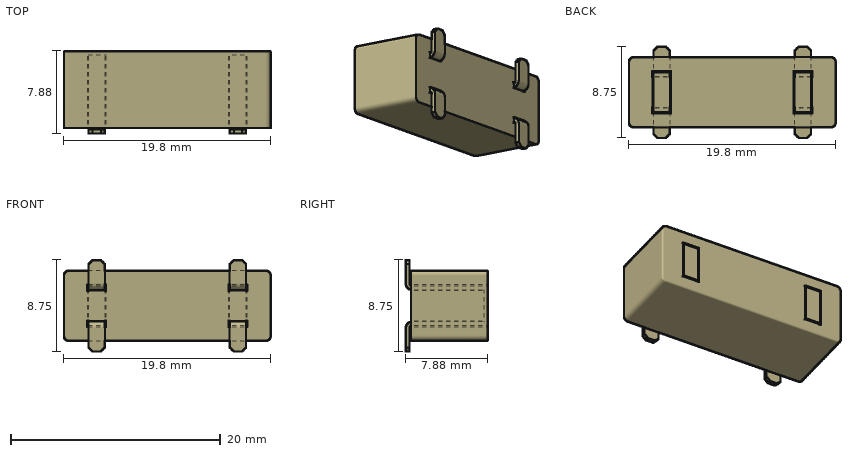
import cadquery as cq
import math

length = 19.81
total_depth = 7.88
total_height = 8.75

housing_depth = 7.37
housing_height = 6.74
corner_radius = 0.5
back_edge_radius = 0.15

terminal_spacing = 13.51
strip_width = 1.58
strip_thickness = 0.4
outer_bend_radius = 0.65
leg_inside = 1.5
tip_chamfer = 0.4

side_clearance = 0.09
inside_clearance = 0.05
outside_clearance = 0.12

mounting_face = -housing_depth / 2
back_face = housing_depth / 2
foot_front = back_face - total_depth
foot_back = foot_front + strip_thickness
bend_centre_y = foot_front + outer_bend_radius
bridge_front = back_face - strip_thickness

leg_outside = leg_inside + strip_thickness
bend_centre_z = leg_inside + outer_bend_radius
foot_tip = total_height / 2
slot_inside = leg_inside - inside_clearance
slot_outside = leg_outside + outside_clearance

inner_bend_radius = outer_bend_radius - strip_thickness
slot_width = strip_width + 2 * side_clearance
terminal_positions = [-terminal_spacing / 2, terminal_spacing / 2]


def bend_midpoint(radius):
    """Middle of the quarter bend, as a (Y, Z) point."""
    offset = radius * math.sqrt(0.5)
    return (bend_centre_y - offset, bend_centre_z - offset)


def make_terminal(x):
    """U-shaped strip: a bridge at the back joins two legs, each bent outward into a foot."""
    upper_half = (
        cq.Workplane("YZ")
        .moveTo(foot_front, foot_tip)
        .lineTo(foot_front, bend_centre_z)
        .threePointArc(bend_midpoint(outer_bend_radius), (bend_centre_y, leg_inside))
        .lineTo(bridge_front, leg_inside)
        .lineTo(bridge_front, 0)
        .lineTo(back_face, 0)
        .lineTo(back_face, leg_outside)
        .lineTo(bend_centre_y, leg_outside)
        .threePointArc(bend_midpoint(inner_bend_radius), (foot_back, bend_centre_z))
        .lineTo(foot_back, foot_tip)
        .close()
        .extrude(strip_width / 2, both=True)
        .faces(">Z")
        .edges("|Y")
        .chamfer(tip_chamfer)
    )
    return upper_half.union(upper_half.mirror("XY")).translate((x, 0, 0))


def make_terminal_channel(x):
    """Space for one terminal: two slots through the housing and a groove across its back."""
    slot_height = slot_outside - slot_inside
    slot_middle = (slot_outside + slot_inside) / 2
    upper_slot = (
        cq.Workplane("XY")
        .box(slot_width, housing_depth, slot_height)
        .translate((0, 0, slot_middle))
    )
    groove = (
        cq.Workplane("XY")
        .box(slot_width, strip_thickness, 2 * slot_outside)
        .translate((0, (bridge_front + back_face) / 2, 0))
    )
    channel = upper_slot.union(upper_slot.mirror("XY")).union(groove)
    return channel.translate((x, 0, 0))


def make_housing():
    """Block with rounded long corners and back rim, cut for the terminals."""
    block = (
        cq.Workplane("XY")
        .box(length, housing_depth, housing_height)
        .edges("|Y")
        .fillet(corner_radius)
        .faces(">Y")
        .edges()
        .fillet(back_edge_radius)
    )
    for x in terminal_positions:
        block = block.cut(make_terminal_channel(x))
    return block


housing = make_housing().solids().val()
terminals = [make_terminal(x).solids().val() for x in terminal_positions]

result = cq.Compound.makeCompound([housing, *terminals])